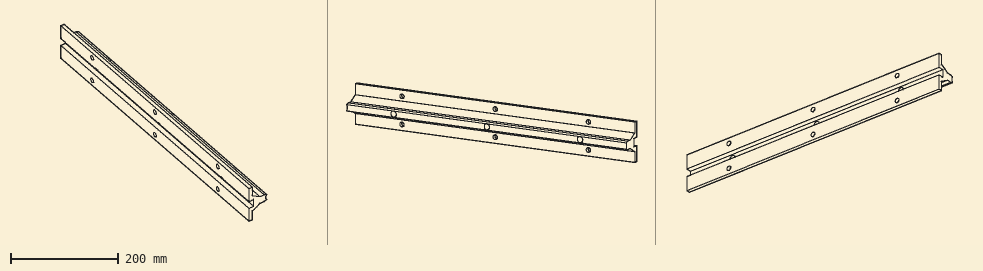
import cadquery as cq

length = 599.5
depth = 41.0
height = 78.0

shoulder_start = 8.5
ledge_depth = 0.7
flange_thickness = shoulder_start - ledge_depth
channel_depth = 11.0
channel_half_height = 8.1

shoulder_half_height = 18.0
neck_start = 25.0
neck_half_height = 8.1
tip_start = 35.0
tip_half_height = 6.0
seat_depth = 2.1

column_pitch = length / 3
flange_hole_diameter = 9.0
flange_hole_offset = 27.0
stem_hole_diameter = 11.5

half_height = height / 2


def make_rail():
    """Extrude the symmetric YZ section along X, centred on the origin in X and Z."""
    upper_side = [
        (0, channel_half_height),
        (0, half_height),
        (flange_thickness, half_height),
        (flange_thickness, shoulder_half_height),
        (shoulder_start, shoulder_half_height),
        (neck_start, neck_half_height),
        (tip_start, neck_half_height),
        (depth, tip_half_height),
    ]
    lower_side = [(y, -z) for y, z in reversed(upper_side)]
    return (
        cq.Workplane("YZ", origin=(-length / 2, 0, 0))
        .moveTo(channel_depth, channel_half_height)
        .polyline(upper_side, includeCurrent=True)
        .threePointArc((depth - seat_depth, 0), lower_side[0])
        .polyline(lower_side[1:], includeCurrent=True)
        .lineTo(channel_depth, -channel_half_height)
        .close()
        .extrude(length)
    )


def make_holes(diameter, z):
    """Cylinders through the full depth, one per column, at height z."""
    columns = [(column * column_pitch, z) for column in (-1, 0, 1)]
    return (
        cq.Workplane("XZ")
        .pushPoints(columns)
        .circle(diameter / 2)
        .extrude(-depth)
    )


result = make_rail().cut(make_holes(stem_hole_diameter, 0))
for side in (-1, 1):
    result = result.cut(make_holes(flange_hole_diameter, side * flange_hole_offset))